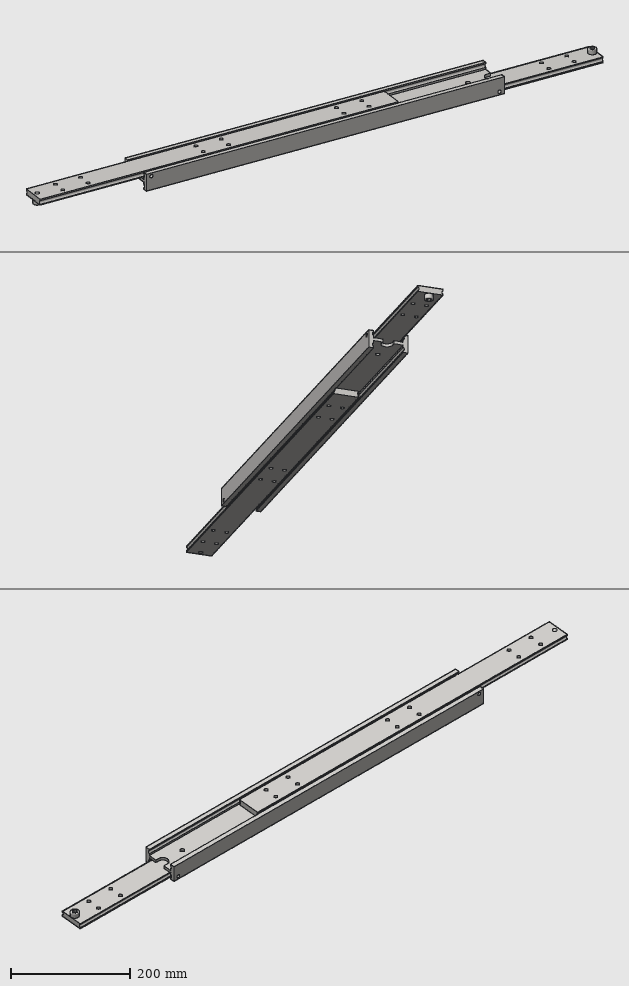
import cadquery as cq


overall_length = 1100.0
overall_height = 32.0
housing_width = 70.0
member_length = 700.0

channel_width = 53.0
rail_width = 45.0
rail_thickness = 11.0
race_radius = 4.0
race_depth = 6.0

web_thickness = 5.0
notch_radius = 10.1
notch_straight = 7.0
web_hole_diameter = 7.9
web_hole_end_distance = 51.0

retainer_hole_diameter = 5.9
retainer_hole_end_distance = 10.0

mounting_hole_diameter = 7.0
mounting_hole_spacing_x = 24.0
mounting_hole_pitch_y = 50.0
mounting_hole_end_distance = 51.0

screw_end_distance = 8.0
shank_diameter = 7.9
head_diameter = 15.0
head_height = 9.0
head_rim_fillet = 1.3
socket_corner_diameter = 9.0
socket_depth = 4.0

half_height = overall_height / 2
rail_bottom = half_height - rail_thickness
rail_outer_end = -overall_length / 2
rail_center_y = rail_outer_end + member_length / 2
race_x = (rail_width + channel_width) / 4
race_z = half_height - race_depth
screw_y = rail_outer_end + screw_end_distance
housing_end = member_length / 2


def half_turn(shape):
    """Swap the upper and lower sides by turning about X."""
    return shape.rotate((0, 0, 0), (1, 0, 0), 180)


def make_races():
    """Round bars that cut both races of the upper rail, longer than any member."""
    return (
        cq.Workplane("XZ")
        .pushPoints([(-race_x, race_z), (race_x, race_z)])
        .circle(race_radius)
        .extrude(overall_length, both=True)
    )


def make_web_cuts():
    """End notch and round hole in the web at the -Y end of the housing."""
    notch_center_y = -housing_end + notch_straight
    straight_part = cq.Workplane("XY").center(0, -housing_end).rect(2 * notch_radius, 2 * notch_straight)
    round_part = cq.Workplane("XY").center(0, notch_center_y).circle(notch_radius)
    hole = (
        cq.Workplane("XY")
        .center(0, -housing_end + web_hole_end_distance)
        .circle(web_hole_diameter / 2)
    )
    cuts = straight_part.extrude(web_thickness, both=True)
    cuts = cuts.union(round_part.extrude(web_thickness, both=True))
    return cuts.union(hole.extrude(web_thickness, both=True))


def make_retainer_holes():
    """Cross holes through both walls into the upper races, at the -Y end."""
    return (
        cq.Workplane("YZ")
        .center(-housing_end + retainer_hole_end_distance, race_z)
        .circle(retainer_hole_diameter / 2)
        .extrude(housing_width, both=True)
    )


def make_housing():
    channel_depth = half_height - web_thickness / 2
    channel = cq.Workplane("XY").box(channel_width, member_length, channel_depth, centered=(True, True, False))
    upper_cuts = channel.translate((0, 0, web_thickness / 2))
    upper_cuts = upper_cuts.union(make_races()).union(make_retainer_holes()).union(make_web_cuts())
    body = cq.Workplane("XY").box(housing_width, member_length, overall_height)
    return body.cut(upper_cuts).cut(half_turn(upper_cuts))


def make_upper_rail():
    body = (
        cq.Workplane("XY", origin=(0, rail_center_y, rail_bottom))
        .box(rail_width, member_length, rail_thickness, centered=(True, True, False))
        .cut(make_races())
    )

    end_group_offset = member_length / 2 - mounting_hole_end_distance - mounting_hole_pitch_y / 2
    for group_offset in (-end_group_offset, 0, end_group_offset):
        holes = (
            cq.Workplane("XY", origin=(0, rail_center_y + group_offset, rail_bottom))
            .rarray(mounting_hole_spacing_x, mounting_hole_pitch_y, 2, 2)
            .circle(mounting_hole_diameter / 2)
            .extrude(rail_thickness)
        )
        body = body.cut(holes)

    screw_hole = (
        cq.Workplane("XY", origin=(0, screw_y, rail_bottom))
        .circle(shank_diameter / 2)
        .extrude(rail_thickness)
    )
    return body.cut(screw_hole)


def make_upper_stop_screw():
    """Screw with its head under the rail and its shank end flush with the rail top."""
    head_end = rail_bottom - head_height
    head = (
        cq.Workplane("XY", origin=(0, screw_y, head_end))
        .circle(head_diameter / 2)
        .extrude(head_height)
        .faces("<Z")
        .edges()
        .fillet(head_rim_fillet)
    )
    shank = (
        cq.Workplane("XY", origin=(0, screw_y, rail_bottom))
        .circle(shank_diameter / 2)
        .extrude(rail_thickness)
    )
    socket = (
        cq.Workplane("XY", origin=(0, screw_y, head_end))
        .transformed(rotate=(0, 0, 90))
        .polygon(6, socket_corner_diameter)
        .extrude(socket_depth)
    )
    return head.union(shank).cut(socket)


housing = make_housing()
upper_rail = make_upper_rail()
upper_screw = make_upper_stop_screw()

bodies = [housing.val()]
for moving_part in (upper_rail, upper_screw):
    bodies.append(moving_part.val())
    bodies.append(half_turn(moving_part).val())

result = cq.Compound.makeCompound(bodies)